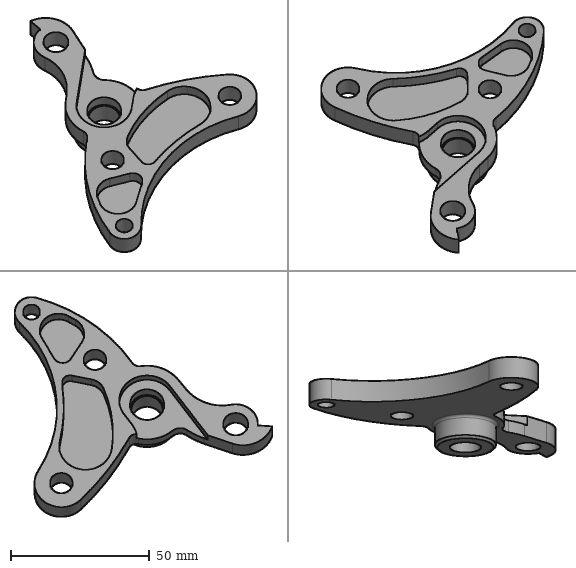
import cadquery as cq
import math

PLATE_THICKNESS = 8.0
HUB_HEIGHT = 8.7
RECESS_DEPTH = 3.5
POCKET_DEPTH = 4.7
CUT_MARGIN = 1.0

BORE_CENTER = (0.0, 0.0)
BORE_RADIUS = 5.7
COUNTERBORE_RADIUS = 6.2
HUB_RADIUS = 11.1
HUB_CHAMFER = 0.9
HUB_OVERLAP = 1.0
HUB_ROOT_FILLET = 1.0
BOSS_RADIUS = 14.0
RECESS_RADIUS = 10.0

TOP_HOLE = (9.0, 44.7)
TOP_HOLE_RADIUS = 4.1
TOP_EAR_RADIUS = 9.7
MIDDLE_HOLE = (24.6, -4.2)
MIDDLE_HOLE_RADIUS = 4.1
RIGHT_HOLE = (54.2, -8.7)
RIGHT_HOLE_RADIUS = 3.0
RIGHT_EAR_RADIUS = 6.1
LUG_HOLE = (-32.4, -8.5)
LUG_HOLE_RADIUS = 4.5
LUG_RADIUS = 8.1

LUG_BACK_CENTER = (-33.3, -12.0)
LUG_BACK_RADIUS = 11.1
TIP_ANGLE = 193.5
NOTCH_ANGLE = 208.0

INNER_SWEEP_RADIUS = 50.8
LEFT_SIDE_CENTER = (102.0, 25.1)
BOTTOM_SIDE_CENTER = (40.1, 46.3)
LEFT_CORNER_RADIUS = 3.0
BOTTOM_CORNER_RADIUS = 3.1
HUMP_CENTER = (-19.9, -23.8)
HUMP_RADIUS = 25.1
HUMP_CORNER_RADIUS = 4.1
LUG_UNDERCUT_CENTER = (-15.8, -26.2)

POCKET_TOP_CENTER = (9.3, 27.4)
POCKET_TOP_RADIUS = 9.5
POCKET_LOW_CENTER = (19.6, 9.2)
POCKET_LOW_RADIUS = 6.3
POCKET_RIGHT_CENTER = (27.4, 8.4)
POCKET_RIGHT_RADIUS = 2.9
POCKET_RIGHT_SIDE_RADIUS = 71.2
POCKET_LEFT_SIDE_RADIUS = 48.2

SMALL_POCKET_TOP_CENTER = (35.7, 0.1)
SMALL_POCKET_TOP_RADIUS = 3.5
SMALL_POCKET_LOW_X = (39.2, 42.0)
SMALL_POCKET_LOW_Y = -7.4
SMALL_POCKET_LOW_RADIUS = 6.8

RECESS_BEND_CENTER = (5.1, 23.0)
RECESS_BEND_RADIUS = 13.1
RECESS_UPPER_CORNER = (-10.5, 19.9)
RECESS_LUG_CORNER = (-29.3, 2.1)


def polar(center, radius, degrees):
    angle = math.radians(degrees)
    return (center[0] + radius * math.cos(angle), center[1] + radius * math.sin(angle))


def blend(first, second, radius, side):
    """Circle tangent to two others; side is +1 left, -1 right of the line first to second."""
    (x1, y1), r1 = first
    (x2, y2), r2 = second
    reach1 = abs(radius - r1)
    reach2 = abs(radius - r2)
    distance = math.hypot(x2 - x1, y2 - y1)
    along = (reach1**2 - reach2**2 + distance**2) / (2 * distance)
    across = side * math.sqrt(reach1**2 - along**2)
    ux = (x2 - x1) / distance
    uy = (y2 - y1) / distance
    return (x1 + along * ux - across * uy, y1 + along * uy + across * ux), radius


def tangent(first, second):
    """End points of the line leaving the first circle and joining the second."""
    (x1, y1), r1 = first
    (x2, y2), r2 = second
    distance = math.hypot(x2 - x1, y2 - y1)
    rise = max(-1.0, min(1.0, (r2 - r1) / distance))
    normal = math.atan2(y2 - y1, x2 - x1) + math.acos(rise)
    nx = math.cos(normal)
    ny = math.sin(normal)
    return (x1 - r1 * nx, y1 - r1 * ny), (x2 - r2 * nx, y2 - r2 * ny)


def smooth_outline(circles):
    """Closed outline around a chain of circles, joined directly or by tangent lines."""
    shortest_line = 0.001
    following = circles[1:] + circles[:1]
    joins = [tangent(first, second) for first, second in zip(circles, following)]
    start = joins[-1][1]
    outline = cq.Workplane("XY").moveTo(*start)
    here = start
    for (center, radius), (leave, arrive) in zip(circles, joins):
        if radius:
            begin = math.atan2(here[1] - center[1], here[0] - center[0])
            end = math.atan2(leave[1] - center[1], leave[0] - center[0])
            turn = math.copysign(1, radius)
            sweep = turn * ((turn * (end - begin)) % (2 * math.pi))
            middle = polar(center, abs(radius), math.degrees(begin + sweep / 2))
            outline = outline.threePointArc(middle, leave)
            here = leave
        if math.dist(leave, arrive) > shortest_line:
            outline = outline.lineTo(*arrive)
            here = arrive
    return outline.close()


def cutter(outline, depth):
    """Solid that cuts the outline to a depth below the plate's top face."""
    return outline.extrude(depth + CUT_MARGIN).translate((0, 0, PLATE_THICKNESS - depth))


def plate():
    right_ear = (RIGHT_HOLE, RIGHT_EAR_RADIUS)
    top_ear = (TOP_HOLE, TOP_EAR_RADIUS)
    boss = (BORE_CENTER, BOSS_RADIUS)
    hump = (HUMP_CENTER, HUMP_RADIUS)
    lug_back = (LUG_BACK_CENTER, LUG_BACK_RADIUS)
    tip = (polar(LUG_BACK_CENTER, LUG_BACK_RADIUS, TIP_ANGLE), 0)
    notch = (polar(LUG_HOLE, LUG_RADIUS, NOTCH_ANGLE), 0)
    lug = (LUG_HOLE, LUG_RADIUS)
    undercut_radius = math.dist(LUG_UNDERCUT_CENTER, LUG_HOLE) - LUG_RADIUS
    undercut = (LUG_UNDERCUT_CENTER, -undercut_radius)

    inner_sweep = blend(right_ear, top_ear, -INNER_SWEEP_RADIUS, -1)
    left_side = (LEFT_SIDE_CENTER, math.dist(LEFT_SIDE_CENTER, TOP_HOLE) + TOP_EAR_RADIUS)
    left_corner = blend(left_side, boss, -LEFT_CORNER_RADIUS, -1)
    hump_corner = blend(boss, hump, -HUMP_CORNER_RADIUS, -1)
    bottom_side = (
        BOTTOM_SIDE_CENTER,
        math.dist(BOTTOM_SIDE_CENTER, RIGHT_HOLE) + RIGHT_EAR_RADIUS,
    )
    bottom_corner = blend(boss, bottom_side, -BOTTOM_CORNER_RADIUS, -1)
    outline = smooth_outline([
        right_ear,
        inner_sweep,
        top_ear,
        left_side,
        left_corner,
        boss,
        hump_corner,
        hump,
        lug_back,
        tip,
        notch,
        lug,
        undercut,
        boss,
        bottom_corner,
        bottom_side,
    ])
    return outline.extrude(PLATE_THICKNESS)


def hub():
    """Round hub below the plate, chamfered at its end and flared where it meets the plate."""
    flare_start = (HUB_RADIUS, -HUB_ROOT_FILLET)
    flare_center = (HUB_RADIUS + HUB_ROOT_FILLET, -HUB_ROOT_FILLET)
    profile = (
        cq.Workplane("XZ")
        .moveTo(0, -HUB_HEIGHT)
        .lineTo(HUB_RADIUS - HUB_CHAMFER, -HUB_HEIGHT)
        .lineTo(HUB_RADIUS, HUB_CHAMFER - HUB_HEIGHT)
        .lineTo(*flare_start)
        .threePointArc(polar(flare_center, HUB_ROOT_FILLET, 135), (flare_center[0], 0))
        .lineTo(flare_center[0], HUB_OVERLAP)
        .lineTo(0, HUB_OVERLAP)
        .close()
    )
    return profile.revolve(360, (0, 0, 0), (0, 1, 0))


def bore_recess():
    outline = smooth_outline([
        (BORE_CENTER, RECESS_RADIUS),
        (RECESS_BEND_CENTER, -RECESS_BEND_RADIUS),
        (RECESS_UPPER_CORNER, 0),
        ((RECESS_LUG_CORNER[0], RECESS_UPPER_CORNER[1]), 0),
        (RECESS_LUG_CORNER, 0),
    ])
    return cutter(outline, RECESS_DEPTH)


def large_pocket():
    top = (POCKET_TOP_CENTER, POCKET_TOP_RADIUS)
    low = (POCKET_LOW_CENTER, POCKET_LOW_RADIUS)
    right = (POCKET_RIGHT_CENTER, POCKET_RIGHT_RADIUS)
    left_side = blend(top, low, POCKET_LEFT_SIDE_RADIUS, 1)
    right_side = blend(right, top, -POCKET_RIGHT_SIDE_RADIUS, -1)
    return cutter(smooth_outline([top, left_side, low, right, right_side]), POCKET_DEPTH)


def small_pocket():
    corners = [(SMALL_POCKET_TOP_CENTER, SMALL_POCKET_TOP_RADIUS)]
    for x in SMALL_POCKET_LOW_X:
        corners.append(((x, SMALL_POCKET_LOW_Y), SMALL_POCKET_LOW_RADIUS))
    return cutter(smooth_outline(corners), POCKET_DEPTH)


def round_hole(center, radius, bottom):
    """Cylinder from the given height up past the plate's top face."""
    height = PLATE_THICKNESS + CUT_MARGIN - bottom
    return cq.Workplane("XY", origin=(*center, bottom)).circle(radius).extrude(height)


result = plate().union(hub())
for pocket in (bore_recess(), large_pocket(), small_pocket()):
    result = result.cut(pocket)

result = result.cut(round_hole(BORE_CENTER, COUNTERBORE_RADIUS, 0))
result = result.cut(round_hole(BORE_CENTER, BORE_RADIUS, -HUB_HEIGHT - CUT_MARGIN))

for center, radius in (
    (TOP_HOLE, TOP_HOLE_RADIUS),
    (MIDDLE_HOLE, MIDDLE_HOLE_RADIUS),
    (RIGHT_HOLE, RIGHT_HOLE_RADIUS),
    (LUG_HOLE, LUG_HOLE_RADIUS),
):
    result = result.cut(round_hole(center, radius, -CUT_MARGIN))